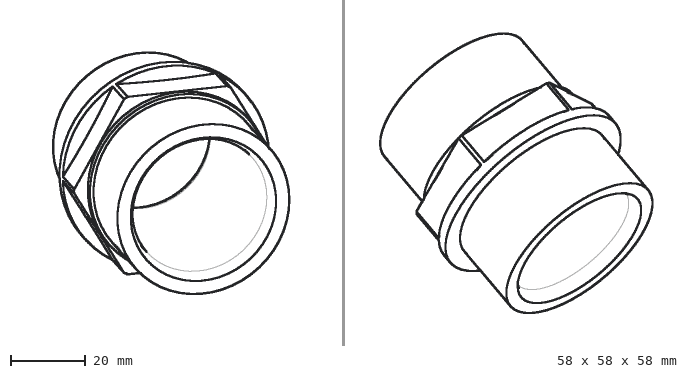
import cadquery as cq
import math

length = 58.0
flange_diameter = 58.0
pipe_diameter = 48.4
collar_diameter = 50.4
bore_diameter = 38.0
bore_mouth_diameter = 40.9
bore_mouth_depth = 3.7

hex_across_flats = 50.8
hex_across_corners = hex_across_flats / math.cos(math.pi / 6)

flange_start = 21.3
flange_end = 24.35
hex_end = 34.6
collar_end = 36.55

flange_cone_angle = 15.0


def axial_plane(distance):
    """Plane facing +X at a distance from the -X end."""
    return cq.Workplane("YZ").workplane(offset=distance - length / 2)


def cylinder(diameter, start, end):
    return axial_plane(start).circle(diameter / 2).extrude(end - start)


def hexagon():
    prism = axial_plane(flange_start).polygon(6, hex_across_corners).extrude(hex_end - flange_start)
    return prism.intersect(cylinder(flange_diameter, flange_start, hex_end))


def flange_cone():
    """Truncated cone from the flange rim in to the flats of the hexagon."""
    rise = (flange_diameter - hex_across_flats) / 2 * math.tan(math.radians(flange_cone_angle))
    return (
        axial_plane(flange_end)
        .circle(flange_diameter / 2)
        .workplane(offset=rise)
        .circle(hex_across_flats / 2)
        .loft(combine=True)
    )


def bore_mouth():
    """Flared opening at the -X end, its rounded wall running tangent into the bore."""
    bore_radius = bore_diameter / 2
    face = -length / 2
    flare = bore_mouth_diameter / 2 - bore_radius
    chord = math.hypot(bore_mouth_depth, flare)
    sagitta = chord / 2 * math.tan(math.atan2(flare, bore_mouth_depth) / 2)
    profile = (
        cq.Workplane("XY")
        .moveTo(face, 0)
        .lineTo(face + bore_mouth_depth, 0)
        .lineTo(face + bore_mouth_depth, bore_radius)
        .sagittaArc((face, bore_mouth_diameter / 2), sagitta)
        .close()
    )
    return profile.revolve(360, (0, 0, 0), (1, 0, 0))


body = (
    cylinder(pipe_diameter, 0, length)
    .union(cylinder(flange_diameter, flange_start, flange_end))
    .union(hexagon())
    .union(flange_cone())
    .union(cylinder(collar_diameter, hex_end, collar_end))
)

mouth = bore_mouth()
result = (
    body.cut(cylinder(bore_diameter, 0, length))
    .cut(mouth)
    .cut(mouth.mirror("YZ"))
)